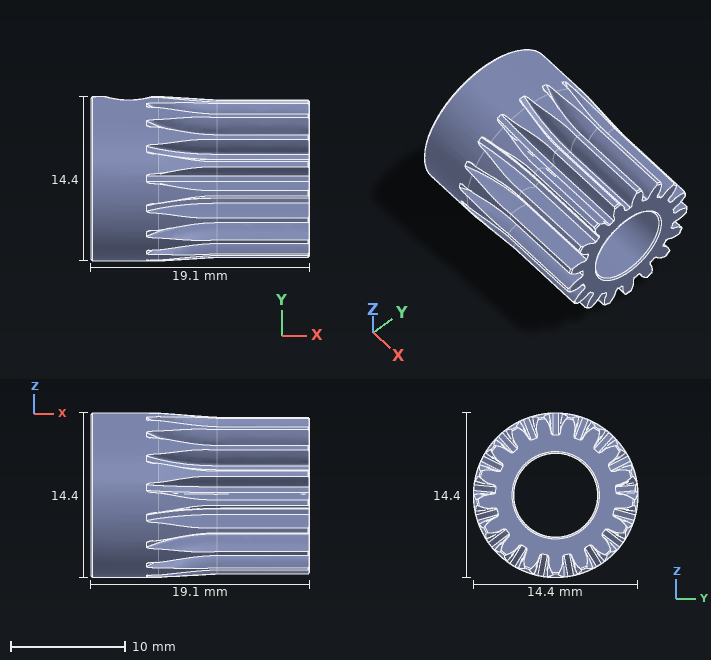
import cadquery as cq
import math

length = 19.11
hub_radius = 7.2
hub_chamfer = 0.15
tip_chamfer = 0.13
runout_start = 4.83
taper_start = 5.89
full_depth_start = 11.0

teeth = 17
module = 0.73
pressure_angle = math.radians(20)
pitch_radius = module * teeth / 2
tip_radius = pitch_radius + module
root_radius = pitch_radius - 1.25 * module
base_radius = pitch_radius * math.cos(pressure_angle)
root_half_width = 0.25
flank_overrun = 0.1
flank_steps = 6

bore_radius = 3.67
bore_chamfer = 0.15
screw_hole_x = 3.3
screw_hole_radius = 1.85
screw_hole_chamfer = 0.25

clearance = 0.57


def turned(outline):
    """Solid of revolution about X from (x, radius) points, with its seam at -Y."""
    half_section = [(x, -radius) for x, radius in outline]
    return cq.Workplane("XY").polyline(half_section).close().revolve(360, (0, 0, 0), (1, 0, 0))


def blank():
    return turned([
        (0, 0),
        (0, hub_radius - hub_chamfer),
        (hub_chamfer, hub_radius),
        (taper_start, hub_radius),
        (full_depth_start, tip_radius),
        (length - tip_chamfer, tip_radius),
        (length, tip_radius - tip_chamfer),
        (length, 0),
    ])


def bore():
    """Through bore, chamfered at both ends."""
    mouth_radius = bore_radius + bore_chamfer
    return turned([
        (0, 0),
        (0, mouth_radius),
        (bore_chamfer, bore_radius),
        (length - bore_chamfer, bore_radius),
        (length, mouth_radius),
        (length, 0),
    ])


def add_screw_hole(body):
    """Radial hole from the bore out through the +Y side, its edge chamfered at both mouths."""
    outer_end = hub_radius + clearance
    drill = (
        cq.Workplane("XZ", origin=(screw_hole_x, 0, 0))
        .circle(screw_hole_radius)
        .extrude(-outer_end)
    )
    reach = screw_hole_radius + clearance
    around_hole = cq.selectors.BoxSelector(
        (screw_hole_x - reach, 0, -reach),
        (screw_hole_x + reach, outer_end, reach),
        boundingbox=True,
    )
    return body.cut(drill).edges(around_hole).edges("not |Y").chamfer(screw_hole_chamfer)


def involute(angle):
    return math.tan(angle) - angle


def flank_point(radius):
    """(y, z) on the +Y involute flank of the tooth space that is centred on +Z."""
    quarter_pitch = math.pi / (2 * teeth)
    local_pressure_angle = math.acos(base_radius / radius)
    half_angle = quarter_pitch + involute(local_pressure_angle) - involute(pressure_angle)
    return (radius * math.sin(half_angle), radius * math.cos(half_angle))


def space_side():
    """(y, z) points up the +Y side of a tooth space: floor corner, root fillet, involute flank."""
    flank_height = tip_radius + flank_overrun - base_radius
    flank = [
        flank_point(base_radius + flank_height * i / flank_steps)
        for i in range(flank_steps + 1)
    ]
    base_y, base_z = flank[0]
    fillet_middle = (
        root_half_width + (base_y - root_half_width) * math.sin(math.pi / 4),
        base_z - (base_z - root_radius) * math.cos(math.pi / 4),
    )
    return [(root_half_width, root_radius), fillet_middle] + flank


def space_profile():
    """Closed section of a tooth space, carried straight up past the hub surface."""
    rising_side = space_side()
    falling_side = [(-y, z) for y, z in reversed(rising_side)]
    flank_end_y = rising_side[-1][0]
    top = hub_radius + clearance
    return (
        cq.Workplane("YZ", origin=(full_depth_start, 0, 0))
        .moveTo(*rising_side[0])
        .spline(rising_side[1:], includeCurrent=True)
        .lineTo(flank_end_y, top)
        .lineTo(-flank_end_y, top)
        .lineTo(*falling_side[0])
        .spline(falling_side[1:], includeCurrent=True)
        .close()
    )


def space_cutter():
    """Straight tooth space with a circular run-out, as left by a disc cutter."""
    run = full_depth_start - runout_start
    depth = hub_radius - root_radius
    disc_radius = (run**2 + depth**2) / (2 * depth)
    disc_centre_z = root_radius + disc_radius
    straight = space_profile().extrude(length - full_depth_start + clearance)
    runout = space_profile().revolve(90, (0, disc_centre_z, 0), (1, disc_centre_z, 0))
    return straight.union(runout)


result = add_screw_hole(blank().cut(bore()))
cutter = space_cutter()
for i in range(teeth):
    result = result.cut(cutter.rotate((0, 0, 0), (1, 0, 0), i * 360 / teeth))